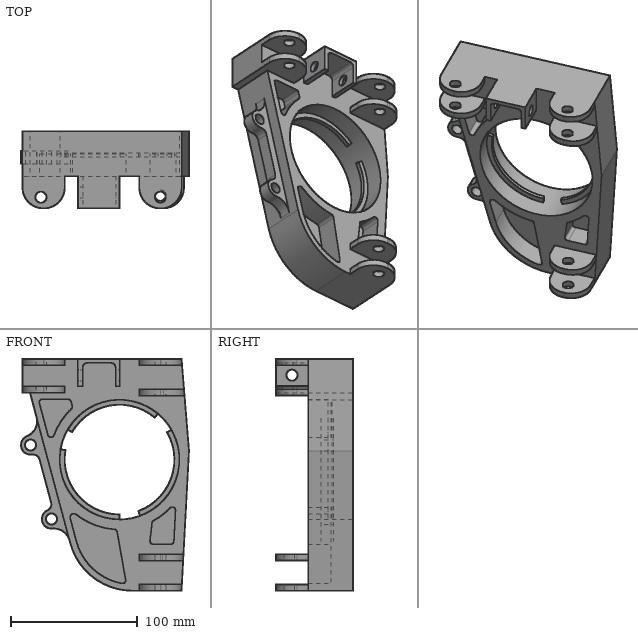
import math
import cadquery as cq

DEPTH = 35.56
REACH = 25.4
TOP_Z = 79.5
HEIGHT = 183.07
BOTTOM_Z = TOP_Z - HEIGHT

BLOCK_LEFT_X = -76.65
BLOCK_WIDTH = 125.65
BLOCK_HEIGHT = 26.8
RIGHT_X = BLOCK_LEFT_X + BLOCK_WIDTH
PEAK_X = 54.89
PEAK_Z = 6.9
LEFT_SIDE_TOP_X = -70.7
LEFT_SIDE_ANGLE = math.radians(15)
CORNER_RADIUS = 50.8

BORE_RADIUS = 47.2
LIP_RADIUS = 43.2
LIP_Y = 15.5
LIP_THICKNESS = 3.05
LIP_EMBED = 1.0
LIP_SPAN = 100
LIP_FIRST_ANGLE = 50
LIP_COUNT = 3

TAB_THICKNESS = 5.08
TAB_WIDTH = 33.53
TAB_RADIUS = 16.51
TAB_HOLE_DIAMETER = 8.6
TAB_HOLE_TIP_DISTANCE = 8.89
TAB_HOLE_Y = TAB_HOLE_TIP_DISTANCE - REACH
LOWER_TAB_HOLE_SHIFT = 1.5
LOWER_TAB_HOLE_Y = TAB_HOLE_Y + LOWER_TAB_HOLE_SHIFT
LEFT_TAB_HOLE_INSET = 14.65
RIGHT_PAIR_HEIGHT = 29.0

HOOD_LEFT_X = -32.9
HOOD_WIDTH = 33.02
HOOD_HEIGHT = 21.6
HOOD_LEFT_WALL = 3.9
HOOD_RIGHT_WALL = 3.3
HOOD_ROOF = 3.3
HOOD_INNER_RADIUS = 3.3
HOOD_HOLE_DIAMETER = 8.6
HOOD_HOLE_DROP = 12.9

FLANGE_Y = 9.9
FLANGE_THICKNESS = 10.16
FLANGE_WIDTH = 6.35
FLANGE_ROOT_INSET = 2.54
LUG_RADIUS = 7.62
LUG_HOLE_DIAMETER = 8.6
UPPER_LUG = (-70.2, 11.45)
LOWER_LUG = (-53.7, -46.9)
OUTER_BLEND = 12.7
INNER_BLEND = 5.08

POCKET_DEPTH = 17.78
POCKET_WALL = 5.08
BORE_WALL = 8.0
BORE_WALL_RADIUS = BORE_RADIUS + BORE_WALL
POCKET_FILLET = 2.54
POCKET_TIP_FILLET = 2.95
UPPER_POCKET_RIGHT_X = -38.7
LOWER_POCKET_RIGHT_X = 5.4
LOWER_POCKET_ANGLE = math.radians(10)
RIGHT_POCKET_LEFT_X = 23.7
RIGHT_POCKET_FLOOR_Z = -66.8
RIGHT_POCKET_ANGLE = math.radians(6.5)
OUTLINE_TOP_Z = -30.0
RIGHT_POCKET_WALL = 8.2

TAN_SIDE = math.tan(LEFT_SIDE_ANGLE)
COS_SIDE = math.cos(LEFT_SIDE_ANGLE)
SIN_SIDE = math.sin(LEFT_SIDE_ANGLE)
BLOCK_BOTTOM_Z = TOP_Z - BLOCK_HEIGHT


def left_side_x(z, inset=0.0):
    """X of a line parallel to the sloped left side, moved inward by `inset`."""
    return LEFT_SIDE_TOP_X + (BLOCK_BOTTOM_Z - z) * TAN_SIDE + inset / COS_SIDE


CORNER_Z = BOTTOM_Z + CORNER_RADIUS
CORNER_X = left_side_x(CORNER_Z, CORNER_RADIUS)
CORNER_START_ANGLE = math.pi + LEFT_SIDE_ANGLE
CORNER_MID_ANGLE = (CORNER_START_ANGLE + 1.5 * math.pi) / 2


def right_side_x(z):
    """X of the two-part sloped right side."""
    end_z = TOP_Z if z > PEAK_Z else BOTTOM_Z
    return PEAK_X + (RIGHT_X - PEAK_X) * (z - PEAK_Z) / (end_z - PEAK_Z)


def polar(center, radius, angle):
    return (center[0] + radius * math.cos(angle), center[1] + radius * math.sin(angle))


def plan_xz(y):
    """Sketch plane in X and Z at depth `y`; extruding by a negative length goes toward +Y."""
    return cq.Workplane("XZ", origin=(0, y, 0))


def body():
    corner = (CORNER_X, CORNER_Z)
    tangent = polar(corner, CORNER_RADIUS, CORNER_START_ANGLE)
    middle = polar(corner, CORNER_RADIUS, CORNER_MID_ANGLE)
    return (
        plan_xz(0)
        .moveTo(BLOCK_LEFT_X, TOP_Z)
        .lineTo(RIGHT_X, TOP_Z)
        .lineTo(PEAK_X, PEAK_Z)
        .lineTo(RIGHT_X, BOTTOM_Z)
        .lineTo(CORNER_X, BOTTOM_Z)
        .threePointArc(middle, tangent)
        .lineTo(LEFT_SIDE_TOP_X, BLOCK_BOTTOM_Z)
        .lineTo(BLOCK_LEFT_X, BLOCK_BOTTOM_Z)
        .close()
        .extrude(-DEPTH)
    )


def tab(left_x, right_x, bottom_z, hole_x, hole_y):
    """Horizontal hinge tab with rounded front corners and a vertical pin hole."""
    shoulder_y = TAB_RADIUS - REACH
    diagonal = TAB_RADIUS * math.sqrt(0.5)
    left_center = left_x + TAB_RADIUS
    right_center = right_x - TAB_RADIUS
    plate = (
        cq.Workplane("XY", origin=(0, 0, bottom_z))
        .moveTo(left_x, 0)
        .lineTo(left_x, shoulder_y)
        .threePointArc((left_center - diagonal, shoulder_y - diagonal), (left_center, -REACH))
        .lineTo(right_center, -REACH)
        .threePointArc((right_center + diagonal, shoulder_y - diagonal), (right_x, shoulder_y))
        .lineTo(right_x, 0)
        .close()
        .extrude(TAB_THICKNESS)
    )
    hole = (
        cq.Workplane("XY", origin=(hole_x, hole_y, bottom_z))
        .circle(TAB_HOLE_DIAMETER / 2)
        .extrude(TAB_THICKNESS)
    )
    return plate.cut(hole)


def hinge_tabs():
    top_tab_z = TOP_Z - TAB_THICKNESS
    left_end = BLOCK_LEFT_X + TAB_WIDTH
    left_hole = BLOCK_LEFT_X + LEFT_TAB_HOLE_INSET
    right_start = RIGHT_X - TAB_WIDTH
    right_hole = RIGHT_X - TAB_WIDTH / 2
    second_z = TOP_Z - RIGHT_PAIR_HEIGHT
    third_z = BOTTOM_Z + RIGHT_PAIR_HEIGHT - TAB_THICKNESS
    second_end = right_side_x(second_z + TAB_THICKNESS)
    third_end = right_side_x(third_z)
    return [
        tab(BLOCK_LEFT_X, left_end, top_tab_z, left_hole, TAB_HOLE_Y),
        tab(BLOCK_LEFT_X, left_end, BLOCK_BOTTOM_Z, left_hole, TAB_HOLE_Y),
        tab(right_start, RIGHT_X, top_tab_z, right_hole, TAB_HOLE_Y),
        tab(right_start, second_end, second_z, right_hole, TAB_HOLE_Y),
        tab(right_start, third_end, third_z, right_hole, LOWER_TAB_HOLE_Y),
        tab(right_start, RIGHT_X, BOTTOM_Z, right_hole, LOWER_TAB_HOLE_Y),
    ]


def hood():
    """Three-sided channel on the front face, open below and in front, cross-drilled along X."""
    bottom_z = TOP_Z - HOOD_HEIGHT
    shell = (
        cq.Workplane("XY")
        .box(HOOD_WIDTH, REACH, HOOD_HEIGHT, centered=False)
        .translate((HOOD_LEFT_X, -REACH, bottom_z))
    )
    inside = (
        cq.Workplane("XY")
        .box(HOOD_WIDTH - HOOD_LEFT_WALL - HOOD_RIGHT_WALL, REACH, HOOD_HEIGHT - HOOD_ROOF, centered=False)
        .edges("|Y and >Z").fillet(HOOD_INNER_RADIUS)
        .translate((HOOD_LEFT_X + HOOD_LEFT_WALL, -REACH, bottom_z))
    )
    hole = (
        cq.Workplane("YZ", origin=(HOOD_LEFT_X, -REACH / 2, TOP_Z - HOOD_HOLE_DROP))
        .circle(HOOD_HOLE_DIAMETER / 2)
        .extrude(HOOD_WIDTH)
    )
    return shell.cut(inside).cut(hole)


def blend_center(lug, edge_inset, radius):
    """Centre, above `lug`, of a blend arc tangent to the lug and to a line along the left side."""
    reach = LUG_RADIUS + radius
    gap = (lug[0] - left_side_x(lug[1], edge_inset - radius)) * COS_SIDE
    along = math.sqrt(reach ** 2 - gap ** 2)
    return (
        lug[0] - gap * COS_SIDE - along * SIN_SIDE,
        lug[1] - gap * SIN_SIDE + along * COS_SIDE,
    )


def lug_flange(lug, top_inset, top_blend, bottom_inset, bottom_blend):
    """Lug joined to the body side by a tangent arc above and a rounded flat underside."""
    center = blend_center(lug, top_inset, top_blend)
    to_lug = math.atan2(lug[1] - center[1], lug[0] - center[0])
    to_side = LEFT_SIDE_ANGLE
    start = polar(center, top_blend, to_side)
    start_mid = polar(center, top_blend, (to_lug + to_side) / 2)
    lug_top = polar(center, top_blend, to_lug)
    underside_z = lug[1] - LUG_RADIUS
    setback = bottom_blend / math.tan((math.pi / 2 + LEFT_SIDE_ANGLE) / 2)
    blend_start_x = left_side_x(underside_z, bottom_inset) - setback
    lower_center = (blend_start_x, underside_z - bottom_blend)
    end = polar(lower_center, bottom_blend, to_side)
    end_mid = polar(lower_center, bottom_blend, (math.pi / 2 + to_side) / 2)
    return (
        plan_xz(FLANGE_Y)
        .moveTo(left_side_x(start[1], FLANGE_ROOT_INSET), start[1])
        .lineTo(*start)
        .threePointArc(start_mid, lug_top)
        .threePointArc((lug[0] - LUG_RADIUS, lug[1]), (lug[0], underside_z))
        .lineTo(blend_start_x, underside_z)
        .threePointArc(end_mid, end)
        .lineTo(left_side_x(end[1], FLANGE_ROOT_INSET), end[1])
        .close()
        .extrude(-FLANGE_THICKNESS)
    )


def side_flange():
    top_z = UPPER_LUG[1]
    bottom_z = LOWER_LUG[1]
    strip = (
        plan_xz(FLANGE_Y)
        .polyline([
            (left_side_x(top_z, -FLANGE_WIDTH), top_z),
            (left_side_x(top_z, FLANGE_ROOT_INSET), top_z),
            (left_side_x(bottom_z, FLANGE_ROOT_INSET), bottom_z),
            (left_side_x(bottom_z, -FLANGE_WIDTH), bottom_z),
        ])
        .close()
        .extrude(-FLANGE_THICKNESS)
    )
    upper = lug_flange(UPPER_LUG, 0, OUTER_BLEND, -FLANGE_WIDTH, INNER_BLEND)
    lower = lug_flange(LOWER_LUG, -FLANGE_WIDTH, INNER_BLEND, 0, OUTER_BLEND)
    holes = (
        plan_xz(FLANGE_Y)
        .pushPoints([UPPER_LUG, LOWER_LUG])
        .circle(LUG_HOLE_DIAMETER / 2)
        .extrude(-FLANGE_THICKNESS)
    )
    return strip.union(upper).union(lower).cut(holes)


def bore():
    return plan_xz(0).circle(BORE_RADIUS).extrude(-DEPTH)


def lip(start_angle):
    """Arc-shaped ledge standing in from the bore wall."""
    first = math.radians(start_angle)
    last = math.radians(start_angle + LIP_SPAN)
    middle = (first + last) / 2
    outer = BORE_RADIUS + LIP_EMBED
    axis = (0, 0)
    return (
        plan_xz(LIP_Y)
        .moveTo(*polar(axis, LIP_RADIUS, first))
        .lineTo(*polar(axis, outer, first))
        .threePointArc(polar(axis, outer, middle), polar(axis, outer, last))
        .lineTo(*polar(axis, LIP_RADIUS, last))
        .threePointArc(polar(axis, LIP_RADIUS, middle), polar(axis, LIP_RADIUS, first))
        .close()
        .extrude(-LIP_THICKNESS)
    )


def pocket(outline):
    """Blind pocket from a closed outline, stopping at the wall around the bore."""
    around_bore = plan_xz(0).circle(BORE_WALL_RADIUS).extrude(-POCKET_DEPTH)
    return outline.extrude(-POCKET_DEPTH).cut(around_bore)


def upper_left_pocket():
    top_z = BLOCK_BOTTOM_Z - POCKET_WALL
    inside_bore_z = 0
    return pocket(
        plan_xz(0)
        .polyline([
            (left_side_x(top_z, POCKET_WALL), top_z),
            (UPPER_POCKET_RIGHT_X, top_z),
            (UPPER_POCKET_RIGHT_X + (top_z - inside_bore_z) * TAN_SIDE, inside_bore_z),
            (left_side_x(inside_bore_z, POCKET_WALL), inside_bore_z),
        ])
        .close()
    ).edges("|Y").fillet(POCKET_FILLET)


def lower_left_pocket():
    radius = CORNER_RADIUS - POCKET_WALL
    corner = (CORNER_X, CORNER_Z)
    tangent = polar(corner, radius, CORNER_START_ANGLE)
    middle = polar(corner, radius, CORNER_MID_ANGLE)
    arc_end_z = CORNER_Z - math.sqrt(radius ** 2 - (LOWER_POCKET_RIGHT_X - CORNER_X) ** 2)
    upper_right_x = LOWER_POCKET_RIGHT_X - (OUTLINE_TOP_Z - arc_end_z) * math.tan(LOWER_POCKET_ANGLE)
    recess = pocket(
        plan_xz(0)
        .moveTo(left_side_x(OUTLINE_TOP_Z, POCKET_WALL), OUTLINE_TOP_Z)
        .lineTo(*tangent)
        .threePointArc(middle, (LOWER_POCKET_RIGHT_X, arc_end_z))
        .lineTo(upper_right_x, OUTLINE_TOP_Z)
        .close()
    )
    right_corners = recess.edges("|Y").sort(lambda edge: edge.Center().x)[-2:]
    rounded = right_corners.fillet(POCKET_FILLET)
    return rounded.edges("|Y").edges("<X").fillet(POCKET_TIP_FILLET)


def right_pocket():
    rise = OUTLINE_TOP_Z - RIGHT_POCKET_FLOOR_Z
    inside_bore_x = RIGHT_POCKET_LEFT_X + rise * math.tan(RIGHT_POCKET_ANGLE)
    return pocket(
        plan_xz(0)
        .polyline([
            (RIGHT_POCKET_LEFT_X, RIGHT_POCKET_FLOOR_Z),
            (inside_bore_x, OUTLINE_TOP_Z),
            (right_side_x(OUTLINE_TOP_Z) - RIGHT_POCKET_WALL, OUTLINE_TOP_Z),
            (right_side_x(RIGHT_POCKET_FLOOR_Z) - RIGHT_POCKET_WALL, RIGHT_POCKET_FLOOR_Z),
        ])
        .close()
    ).edges("|Y").fillet(POCKET_FILLET)


result = body().cut(bore())
for piece in hinge_tabs() + [hood(), side_flange()]:
    result = result.union(piece)
for index in range(LIP_COUNT):
    result = result.union(lip(LIP_FIRST_ANGLE + index * 360 / LIP_COUNT))
for recess in (upper_left_pocket(), lower_left_pocket(), right_pocket()):
    result = result.cut(recess)